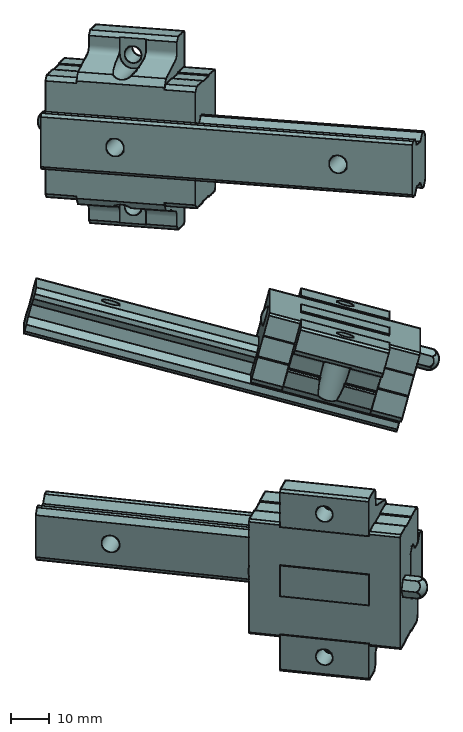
import cadquery as cq
import math


rail_length = 100.0
rail_depth = 12.5
rail_half_width = 7.5
waist_half_width = 5.6
waist_front = 4.5
waist_back = 7.75
waist_flare = rail_half_width - waist_half_width
rail_front_chamfer = 0.8
rail_back_chamfer = 1.5
rail_hole_diameter = 4.8
rail_hole_pitch = 60.0
rail_hole_first = (rail_length - rail_hole_pitch) / 2

carriage_length = 40.4
carriage_front = waist_front
carriage_back = 23.6
carriage_half_height = 16.4
carriage_front_chamfer = 1.2
carriage_back_chamfer = 0.6
side_recess_depth = 0.25
side_recess_front = 11.6
side_recess_back = 17.55

flange_length = 23.7
flange_back = 24.0
flange_face = 16.5
flange_half_height = 26.0
flange_front_chamfer = 1.2
flange_back_chamfer = 0.7
flange_fillet = 2.0
fillet_center_z = 22.2
web_angle = math.radians(15)
shoulder_half_height = 15.8
shoulder_rise = 2.0
shoulder_run = 1.6
back_pad_half_height = 15.4
center_pad_half_height = 4.4

groove_y = 11.0
groove_width = 1.0
groove_depth = 0.4

screw_hole_diameter = 4.5
screw_hole_z = 20.5
seat_radius = 3.5
seat_arc_z = 20.3
seat_y = 16.65
seat_overrun = 10.0

nipple_y = 19.4
nipple_length = 6.1
nipple_across_flats = 5.0
nipple_tip_radius = 3.0
plug_diameter = 5.2
plug_height = 1.1

carriage_middle = carriage_length / 2
flange_start_x = carriage_middle - flange_length / 2

shoulder_y = carriage_front + shoulder_run
shoulder_z = shoulder_half_height + shoulder_rise
fillet_center_y = flange_face - flange_fillet
web_end_y = fillet_center_y + flange_fillet * math.sin(web_angle)
web_end_z = fillet_center_z - flange_fillet * math.cos(web_angle)


def mirrored_prism(half_outline, start_x, length):
    """Extrude along X the closed shape made by a (Y, Z) outline and its mirror image below Z = 0."""
    lower_half = [(y, -z) for y, z in reversed(half_outline)]
    outline = half_outline + lower_half
    return cq.Workplane("YZ", origin=(start_x, 0, 0)).polyline(outline).close().extrude(length)


def y_cylinder(x, z, start_y, end_y, radius):
    return (
        cq.Workplane("XZ", origin=(x, start_y, z))
        .circle(radius)
        .extrude(start_y - end_y)
    )


def rail_blank():
    return mirrored_prism(
        [
            (0, rail_half_width - rail_front_chamfer),
            (rail_front_chamfer, rail_half_width),
            (waist_front - waist_flare, rail_half_width),
            (waist_front, waist_half_width),
            (waist_back, waist_half_width),
            (waist_back + waist_flare, rail_half_width),
            (rail_depth - rail_back_chamfer, rail_half_width),
            (rail_depth, rail_half_width - rail_back_chamfer),
        ],
        0,
        rail_length,
    )


def make_rail():
    rail = rail_blank()
    for x in (rail_hole_first, rail_hole_first + rail_hole_pitch):
        rail = rail.cut(y_cylinder(x, 0, 0, rail_depth, rail_hole_diameter / 2))
    return rail


def carriage_block():
    """Full-length block with a shallow recess along its top and bottom sides."""
    recess_half_height = carriage_half_height - side_recess_depth
    return mirrored_prism(
        [
            (carriage_front, carriage_half_height - carriage_front_chamfer),
            (carriage_front + carriage_front_chamfer, carriage_half_height),
            (side_recess_front, carriage_half_height),
            (side_recess_front + side_recess_depth, recess_half_height),
            (side_recess_back - side_recess_depth, recess_half_height),
            (side_recess_back, carriage_half_height),
            (carriage_back - carriage_back_chamfer, carriage_half_height),
            (carriage_back, carriage_half_height - carriage_back_chamfer),
        ],
        0,
        carriage_length,
    )


def flanged_section():
    """Middle section whose sloping web rises from the shoulder into the flange, above and below."""
    mid_angle = web_angle / 2 + math.pi / 4
    fillet_middle = (
        fillet_center_y + flange_fillet * math.sin(mid_angle),
        fillet_center_z - flange_fillet * math.cos(mid_angle),
    )
    upper_half = (
        cq.Workplane("YZ", origin=(flange_start_x, 0, 0))
        .moveTo(carriage_front, 0)
        .lineTo(carriage_front, shoulder_half_height)
        .lineTo(shoulder_y, shoulder_z)
        .lineTo(web_end_y, web_end_z)
        .threePointArc(fillet_middle, (flange_face, fillet_center_z))
        .lineTo(flange_face, flange_half_height - flange_front_chamfer)
        .lineTo(flange_face + flange_front_chamfer, flange_half_height)
        .lineTo(flange_back - flange_back_chamfer, flange_half_height)
        .lineTo(flange_back, flange_half_height - flange_back_chamfer)
        .lineTo(flange_back, back_pad_half_height)
        .lineTo(carriage_back, back_pad_half_height)
        .lineTo(carriage_back, center_pad_half_height)
        .lineTo(flange_back, center_pad_half_height)
        .lineTo(flange_back, 0)
        .close()
        .extrude(flange_length)
    )
    return upper_half.union(upper_half.mirror("XY"))


def reference_groove():
    """Small V groove along the slope of the lower web."""
    web_slope = (web_end_z - shoulder_z) / (web_end_y - shoulder_y)
    groove_z = -shoulder_z - web_slope * (groove_y - shoulder_y)
    half_width = groove_width / 2
    rise = half_width * web_slope
    return (
        cq.Workplane("YZ", origin=(flange_start_x, groove_y, groove_z))
        .moveTo(-half_width, rise)
        .lineTo(0, groove_depth)
        .lineTo(half_width, -rise)
        .close()
        .extrude(flange_length)
    )


def screw_seat(side):
    """Round-ended seat, open at the flange edge, with a through hole; side is +1 above and -1 below."""
    seat_depth = seat_y - carriage_front
    seat = (
        cq.Workplane("XZ", origin=(carriage_middle, seat_y, side * seat_arc_z))
        .moveTo(-seat_radius, 0)
        .lineTo(-seat_radius, side * seat_overrun)
        .lineTo(seat_radius, side * seat_overrun)
        .lineTo(seat_radius, 0)
        .threePointArc((0, -side * seat_radius), (-seat_radius, 0))
        .close()
        .extrude(seat_depth)
    )
    hole = y_cylinder(
        carriage_middle, side * screw_hole_z, seat_y, flange_back, screw_hole_diameter / 2
    )
    return seat.union(hole)


def grease_nipple():
    """Hexagonal nipple on the -X end, rounded off by a sphere."""
    corner_diameter = nipple_across_flats / math.cos(math.pi / 6)
    hexagon = (
        cq.Workplane("YZ", origin=(-nipple_length, nipple_y, 0))
        .polygon(6, corner_diameter)
        .extrude(nipple_length)
    )
    tip_center_x = nipple_tip_radius - nipple_length
    sphere = cq.Workplane(origin=(tip_center_x, nipple_y, 0)).sphere(nipple_tip_radius)
    shank = (
        cq.Workplane("YZ", origin=(tip_center_x, nipple_y, 0))
        .circle(nipple_tip_radius)
        .extrude(-tip_center_x)
    )
    return hexagon.intersect(sphere.union(shank))


def end_plug():
    """Shallow spherical cap on the +X end."""
    plug_radius = plug_diameter / 2
    dome_radius = (plug_radius**2 + plug_height**2) / (2 * plug_height)
    half_angle = math.asin(plug_radius / dome_radius) / 2
    arc_middle = (
        plug_height - dome_radius * (1 - math.cos(half_angle)),
        dome_radius * math.sin(half_angle),
    )
    return (
        cq.Workplane("XY", origin=(carriage_length, nipple_y, 0))
        .lineTo(0, plug_radius)
        .threePointArc(arc_middle, (plug_height, 0))
        .close()
        .revolve(360, (0, 0, 0), (1, 0, 0))
    )


def make_carriage():
    carriage = carriage_block().union(flanged_section()).cut(rail_blank()).cut(reference_groove())
    for side in (1, -1):
        carriage = carriage.cut(screw_seat(side))
    return carriage.union(grease_nipple()).union(end_plug())


rail = make_rail()
carriage = make_carriage()

result = cq.Compound.makeCompound([rail.solids().val(), carriage.solids().val()])